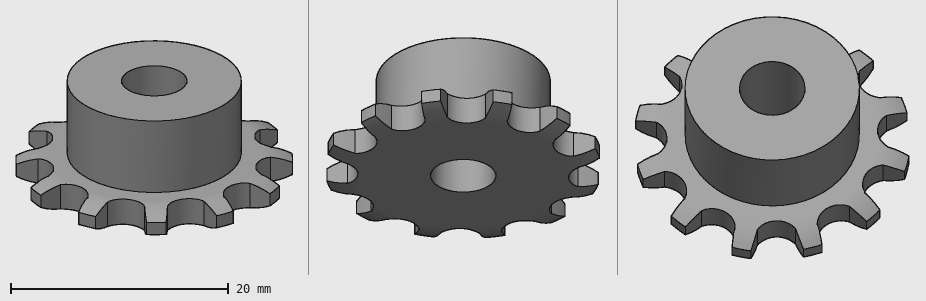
import cadquery as cq
import math

tooth_count = 12
tip_radius = 12.7
root_radius = 9.68
plate_thickness = 2.62
hub_diameter = 16.0
bore_diameter = 6.0
total_height = 10.0

flank_start_half_width = 1.05
flank_start_radius = 10.67
tip_half_width = 0.9
flank_bulge = 0.03
gap_overrun = 1.27

relief_start_radius = 9.93
relief_curve_radius = 6.0

half_pitch_angle = math.pi / tooth_count


def gap_point(along, half_width):
    """Turn a point on a tooth flank into the frame of the next gap, centred on +X."""
    cos_a = math.cos(half_pitch_angle)
    sin_a = math.sin(half_pitch_angle)
    return (along * cos_a + half_width * sin_a, along * sin_a - half_width * cos_a)


def mirrored(point):
    return (point[0], -point[1])


def relief_drop(radius):
    """Depth of the curved tooth face below the flat face at a given radius."""
    run = radius - relief_start_radius
    return relief_curve_radius - math.sqrt(relief_curve_radius**2 - run**2)


def make_blank():
    mid_radius = (relief_start_radius + tip_radius) / 2
    mid_drop = relief_drop(mid_radius)
    tip_drop = relief_drop(tip_radius)
    return (
        cq.Workplane("XZ")
        .lineTo(relief_start_radius, 0)
        .threePointArc((mid_radius, mid_drop), (tip_radius, tip_drop))
        .lineTo(tip_radius, plate_thickness - tip_drop)
        .threePointArc(
            (mid_radius, plate_thickness - mid_drop),
            (relief_start_radius, plate_thickness),
        )
        .lineTo(0, plate_thickness)
        .close()
        .revolve(360, (0, 0), (0, 1))
    )


def make_gap():
    seat_end = gap_point(flank_start_radius, flank_start_half_width)
    flank_middle = gap_point(
        (flank_start_radius + tip_radius) / 2,
        (flank_start_half_width + tip_half_width) / 2 + flank_bulge,
    )
    flank_end = gap_point(tip_radius, tip_half_width)
    outer_end = (tip_radius + gap_overrun, flank_end[1])
    return (
        cq.Workplane("XY")
        .moveTo(*mirrored(seat_end))
        .threePointArc((root_radius, 0), seat_end)
        .threePointArc(flank_middle, flank_end)
        .lineTo(*outer_end)
        .lineTo(*mirrored(outer_end))
        .lineTo(*mirrored(flank_end))
        .threePointArc(mirrored(flank_middle), mirrored(seat_end))
        .close()
        .extrude(plate_thickness)
    )


sprocket = make_blank()
gap = make_gap()
for index in range(tooth_count):
    gap_angle = (index + 0.5) * 360 / tooth_count
    sprocket = sprocket.cut(gap.rotate((0, 0, 0), (0, 0, 1), gap_angle))

hub = cq.Workplane("XY").circle(hub_diameter / 2).extrude(total_height)
bore = cq.Workplane("XY").circle(bore_diameter / 2).extrude(total_height)
result = sprocket.union(hub).cut(bore)